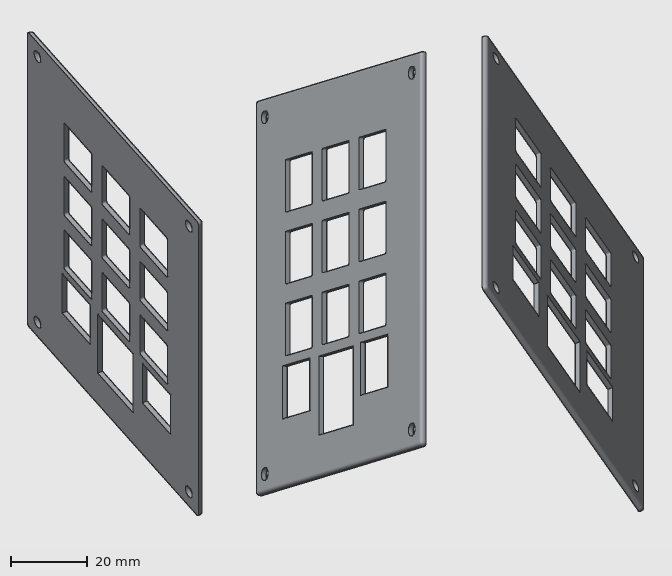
import cadquery as cq

PLATE_WIDTH = 86.2
PLATE_THICKNESS = 1.5
PLATE_HEIGHT = 104.7
CORNER_RADIUS = 1.0
BACK_EDGE_RADIUS = 0.9

HOLE_DIAMETER = 3.4
HOLE_INSET = 5.0
HOLE_SPACING_X = PLATE_WIDTH - 2 * HOLE_INSET
HOLE_SPACING_Z = PLATE_HEIGHT - 2 * HOLE_INSET

KEY_SIZE = 13.9
KEY_CORNER_RADIUS = 0.5
KEY_PITCH = 19.1
KEY_COLUMNS = 3
KEY_ROWS = 3
GRID_CENTER_X = 1.4
GRID_CENTER_Z = 8.4

SIDE_WINDOW_SIZE = 14.0
SIDE_WINDOW_CENTER_Z = -27.1
LEFT_WINDOW_CENTER_X = -18.5
RIGHT_WINDOW_CENTER_X = 21.8
CENTER_WINDOW_WIDTH = 17.7
CENTER_WINDOW_HEIGHT = 20.9
CENTER_WINDOW_X = 1.2
CENTER_WINDOW_Z = -30.9


def front_plane():
    """Sketch plane through the middle of the thickness, with X right and Z up."""
    return cq.Workplane("XZ")


def make_plate():
    """Plate with rounded corners and a rounded back edge."""
    plate = (
        front_plane()
        .rect(PLATE_WIDTH, PLATE_HEIGHT)
        .extrude(PLATE_THICKNESS / 2, both=True)
        .edges("|Y")
        .fillet(CORNER_RADIUS)
    )
    return plate.faces(">Y").edges().fillet(BACK_EDGE_RADIUS)


def make_screw_holes():
    """Cylinders through the plate at the four corners."""
    return (
        front_plane()
        .rect(HOLE_SPACING_X, HOLE_SPACING_Z, forConstruction=True)
        .vertices()
        .circle(HOLE_DIAMETER / 2)
        .extrude(PLATE_THICKNESS, both=True)
    )


def make_key_openings():
    """Grid of square key openings with slightly rounded corners."""
    return (
        front_plane()
        .center(GRID_CENTER_X, GRID_CENTER_Z)
        .rarray(KEY_PITCH, KEY_PITCH, KEY_COLUMNS, KEY_ROWS)
        .rect(KEY_SIZE, KEY_SIZE)
        .extrude(PLATE_THICKNESS, both=True)
        .edges("|Y")
        .fillet(KEY_CORNER_RADIUS)
    )


def make_window(center_x, center_z, width, height):
    """Sharp-cornered rectangular opening through the plate."""
    return (
        front_plane()
        .center(center_x, center_z)
        .rect(width, height)
        .extrude(PLATE_THICKNESS, both=True)
    )


result = make_plate().cut(make_screw_holes()).cut(make_key_openings())

for window_x in (LEFT_WINDOW_CENTER_X, RIGHT_WINDOW_CENTER_X):
    side_window = make_window(window_x, SIDE_WINDOW_CENTER_Z, SIDE_WINDOW_SIZE, SIDE_WINDOW_SIZE)
    result = result.cut(side_window)

center_window = make_window(CENTER_WINDOW_X, CENTER_WINDOW_Z, CENTER_WINDOW_WIDTH, CENTER_WINDOW_HEIGHT)
result = result.cut(center_window)